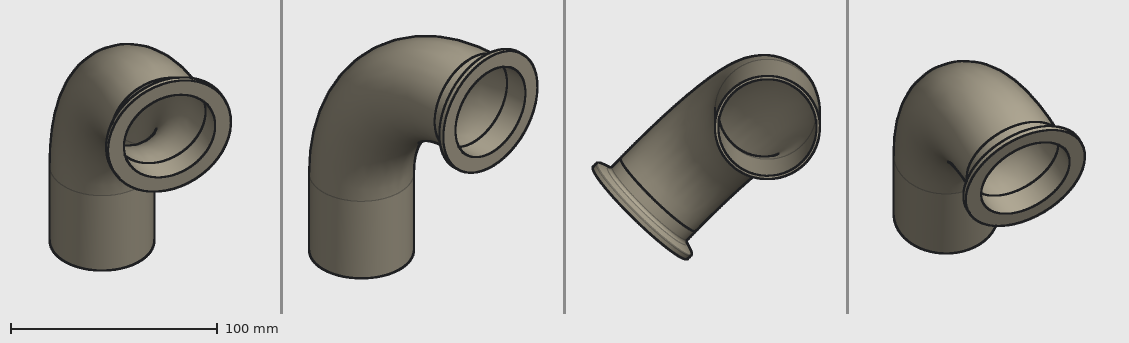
import cadquery as cq
import math

tube_diameter = 50.8
bore_diameter = 47.5
bend_radius = 76.2
total_height = 152.7

flange_diameter = 64.0
ferrule_length = 12.7
rim_width = 2.9
back_angle = math.radians(20)
neck_fillet = 2.0
rim_fillet = 0.5

tube_radius = tube_diameter / 2
bore_radius = bore_diameter / 2
flange_radius = flange_diameter / 2
leg_length = total_height - flange_radius - bend_radius


def make_elbow():
    """Tube with a vertical leg and a quarter bend that turns toward +X."""
    bend_mid_x = bend_radius * (1 - math.cos(math.pi / 4))
    bend_mid_z = leg_length + bend_radius * math.sin(math.pi / 4)
    centreline = (
        cq.Workplane("XZ")
        .lineTo(0, leg_length)
        .threePointArc((bend_mid_x, bend_mid_z), (bend_radius, leg_length + bend_radius))
    )
    return cq.Workplane("XY").circle(tube_radius).circle(bore_radius).sweep(centreline)


def make_ferrule():
    """Short tube stub that flares into a clamp flange, revolved about the outlet axis."""
    start_x = bend_radius
    face_x = start_x + ferrule_length
    axis_z = leg_length + bend_radius
    rim_back_x = face_x - rim_width
    corner_x = rim_back_x - (flange_radius - tube_radius) * math.tan(back_angle)

    profile = [
        (start_x, axis_z + bore_radius),
        (start_x, axis_z + tube_radius),
        (corner_x, axis_z + tube_radius),
        (rim_back_x, axis_z + flange_radius),
        (face_x, axis_z + flange_radius),
        (face_x, axis_z + bore_radius),
    ]
    ferrule = (
        cq.Workplane("XZ")
        .polyline(profile)
        .close()
        .revolve(360, (0, axis_z, 0), (1, axis_z, 0))
    )

    def ring_edge(x, radius):
        return [
            edge for edge in ferrule.edges("%CIRCLE").vals()
            if math.isclose(edge.Center().x, x, abs_tol=0.0002)
            and math.isclose(edge.radius(), radius, abs_tol=0.0002)
        ]

    neck_edge = ring_edge(corner_x, tube_radius)
    rim_edge = ring_edge(rim_back_x, flange_radius)
    rounded = ferrule.val().fillet(neck_fillet, neck_edge).fillet(rim_fillet, rim_edge)
    return cq.Workplane(obj=rounded)


elbow = make_elbow()
ferrule = make_ferrule()

result = cq.Compound.makeCompound([elbow.val(), ferrule.val()])